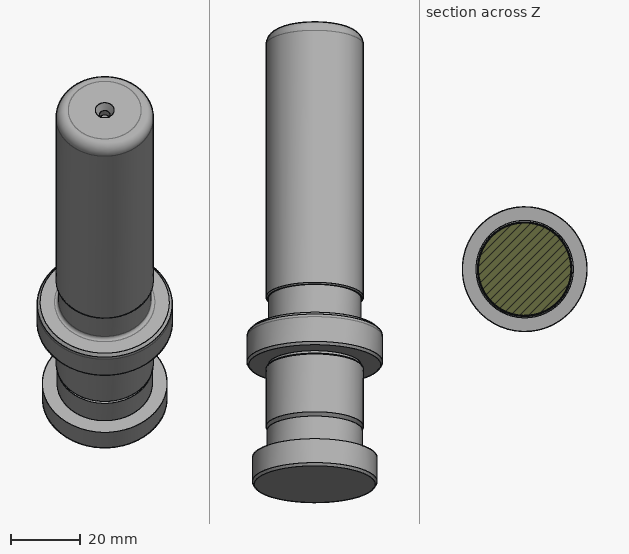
import cadquery as cq
import math

TOTAL_HEIGHT = 136.0
RETAINER_FLANGE_TOP = 8.0
RETAINER_TOP = 16.2
COLLAR_BOTTOM = 36.0
COLLAR_TOP = 46.0
GUIDE_BOTTOM = 56.0

SHANK_RADIUS = 14.0
NECK_RADIUS = 13.3
COLLAR_RADIUS = 39.0 / 2
RETAINER_FLANGE_RADIUS = 18.0
RETAINER_SPIGOT_RADIUS = 13.7

NOSE_RADIUS = 3.5
SHANK_END_CHAMFER = 1.2
SHANK_SHOULDER_CHAMFER = 0.4
UNDERCUT_HEIGHT = 0.8
COLLAR_TOP_CHAMFER = 0.8
COLLAR_EDGE_BREAK = 0.1
COLLAR_EDGE_BREAK_HEIGHT = 0.8
BOTTOM_CHAMFER = 0.5
BOTTOM_CHAMFER_HEIGHT = 0.8
NECK_FILLET = 1.1

CENTRE_MOUTH_RADIUS = 2.7
CENTRE_PILOT_RADIUS = 1.5
CENTRE_PILOT_LENGTH = 2.0
CENTRE_MOUTH_ANGLE = 60.0
CENTRE_TIP_ANGLE = 120.0


def revolve_profile(profile):
    """Turn a closed radius-height outline around the Z axis."""
    return profile.close().revolve(360, (0, 0, 0), (0, 1, 0))


def cone_depth(radius_change, included_angle):
    return radius_change / math.tan(math.radians(included_angle / 2))


def make_centre_hole():
    pilot_top = TOTAL_HEIGHT - cone_depth(CENTRE_MOUTH_RADIUS - CENTRE_PILOT_RADIUS, CENTRE_MOUTH_ANGLE)
    pilot_bottom = pilot_top - CENTRE_PILOT_LENGTH
    tip = pilot_bottom - cone_depth(CENTRE_PILOT_RADIUS, CENTRE_TIP_ANGLE)
    return revolve_profile(
        cq.Workplane("XZ")
        .moveTo(0, TOTAL_HEIGHT)
        .lineTo(CENTRE_MOUTH_RADIUS, TOTAL_HEIGHT)
        .lineTo(CENTRE_PILOT_RADIUS, pilot_top)
        .lineTo(CENTRE_PILOT_RADIUS, pilot_bottom)
        .lineTo(0, tip)
    )


def make_pillar():
    break_radius = COLLAR_RADIUS - COLLAR_EDGE_BREAK
    break_top = COLLAR_TOP - COLLAR_TOP_CHAMFER
    undercut_bottom = COLLAR_BOTTOM - UNDERCUT_HEIGHT
    shoulder_radius = SHANK_RADIUS - SHANK_SHOULDER_CHAMFER
    body = revolve_profile(
        cq.Workplane("XZ")
        .moveTo(0, RETAINER_TOP)
        .lineTo(SHANK_RADIUS - SHANK_END_CHAMFER, RETAINER_TOP)
        .lineTo(SHANK_RADIUS, RETAINER_TOP + SHANK_END_CHAMFER)
        .lineTo(SHANK_RADIUS, undercut_bottom - SHANK_SHOULDER_CHAMFER)
        .lineTo(shoulder_radius, undercut_bottom)
        .lineTo(NECK_RADIUS, undercut_bottom)
        .lineTo(NECK_RADIUS, COLLAR_BOTTOM)
        .lineTo(COLLAR_RADIUS - BOTTOM_CHAMFER, COLLAR_BOTTOM)
        .lineTo(COLLAR_RADIUS, COLLAR_BOTTOM + BOTTOM_CHAMFER_HEIGHT)
        .lineTo(COLLAR_RADIUS, break_top - COLLAR_EDGE_BREAK_HEIGHT)
        .lineTo(break_radius, break_top)
        .lineTo(break_radius - COLLAR_TOP_CHAMFER, COLLAR_TOP)
        .lineTo(NECK_RADIUS + NECK_FILLET, COLLAR_TOP)
        .radiusArc((NECK_RADIUS, COLLAR_TOP + NECK_FILLET), NECK_FILLET)
        .lineTo(NECK_RADIUS, GUIDE_BOTTOM)
        .lineTo(shoulder_radius, GUIDE_BOTTOM)
        .lineTo(SHANK_RADIUS, GUIDE_BOTTOM + SHANK_SHOULDER_CHAMFER)
        .lineTo(SHANK_RADIUS, TOTAL_HEIGHT - NOSE_RADIUS)
        .radiusArc((SHANK_RADIUS - NOSE_RADIUS, TOTAL_HEIGHT), -NOSE_RADIUS)
        .lineTo(0, TOTAL_HEIGHT)
    )
    return body.cut(make_centre_hole())


def make_retainer():
    return revolve_profile(
        cq.Workplane("XZ")
        .lineTo(RETAINER_FLANGE_RADIUS - BOTTOM_CHAMFER, 0)
        .lineTo(RETAINER_FLANGE_RADIUS, BOTTOM_CHAMFER_HEIGHT)
        .lineTo(RETAINER_FLANGE_RADIUS, RETAINER_FLANGE_TOP)
        .lineTo(RETAINER_SPIGOT_RADIUS, RETAINER_FLANGE_TOP)
        .lineTo(RETAINER_SPIGOT_RADIUS, RETAINER_TOP)
        .lineTo(0, RETAINER_TOP)
    )


pillar = make_pillar()
retainer = make_retainer()

result = cq.Compound.makeCompound([pillar.val(), retainer.val()])